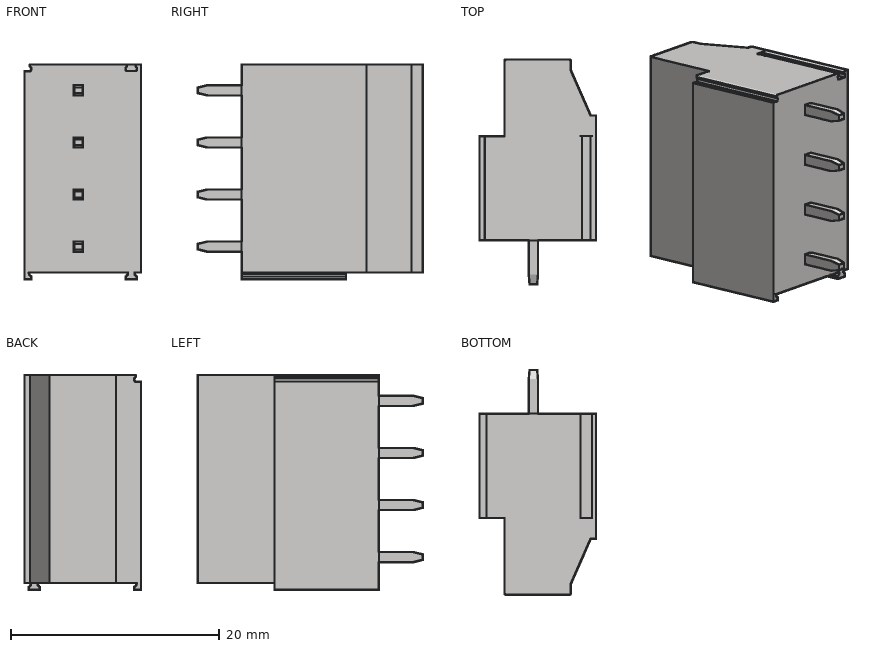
import cadquery as cq
import math

pole_count = 4
height = 20.0
pitch = height / pole_count
depth = 11.2

base_length = 10.02
total_length = 17.39
ledge_length = 12.0
ledge_width = 0.52
slope_end = 16.33
neck_left = 2.4
neck_right = 8.8
neck_edge_radius = 0.2

interlock_depth = 0.65
dovetail_center = 10.25
wide_half_width = 0.55

lip_half_width = 0.39
lip_radius = 0.15
undercut_depth = 0.37
floor_half_width = 0.45
notch_center = 0.1

tongue_root_half_width = 0.37
tongue_waist_half_width = 0.32
tongue_waist_depth = 0.15
tongue_flare_depth = 0.39

hook_root = 0.43
hook_waist = 0.48
hook_waist_depth = 0.2
hook_tip = 0.67
hook_flare_depth = 0.37

pin_x = 5.18
pin_width = 0.9
pin_thickness = 1.0
pin_tip_width = 0.75
pin_tip_thickness = 0.55
pin_length = 4.21
pin_taper_length = 0.9


def extrude_along_base(profile):
    """Extrude an XZ profile from the pin face to the end of the base."""
    return profile.close().extrude(-base_length)


def make_housing():
    outline = [
        (0, 0),
        (depth, 0),
        (depth, ledge_length),
        (depth - ledge_width, ledge_length),
        (neck_right, slope_end),
        (neck_right, total_length),
        (neck_left, total_length),
        (neck_left, base_length),
        (0, base_length),
    ]
    block = cq.Workplane("XY").polyline(outline).close().extrude(height)
    return block.faces(">Y").edges("|Z").fillet(neck_edge_radius)


def make_half_recess(center, inner_x):
    """Recess in the top face between inner_x and the undercut wall to the right of center."""
    lip_x = center + lip_half_width
    wide_x = center + wide_half_width
    mouth_x = lip_x + lip_radius
    floor_x = center + floor_half_width
    lip_z = height - lip_radius
    lip_arc_offset = lip_radius * math.sqrt(0.5)
    lip_arc_middle = (mouth_x - lip_arc_offset, lip_z + lip_arc_offset)
    floor_z = height - interlock_depth
    undercut_z = height - undercut_depth
    floor_arc_middle = (wide_x, (floor_z + undercut_z) / 2)
    profile = (
        cq.Workplane("XZ")
        .moveTo(inner_x, height)
        .lineTo(mouth_x, height)
        .threePointArc(lip_arc_middle, (lip_x, lip_z))
        .lineTo(wide_x, undercut_z)
        .threePointArc(floor_arc_middle, (floor_x, floor_z))
        .lineTo(inner_x, floor_z)
    )
    return extrude_along_base(profile)


def make_groove():
    """Dovetail groove, symmetric about its middle plane."""
    half = make_half_recess(dovetail_center, dovetail_center)
    return half.union(half.mirror("YZ", (dovetail_center, 0, 0)))


def make_notch():
    """Undercut corner removed from the top left of the base."""
    return make_half_recess(notch_center, 0)


def make_tongue():
    """Waisted dovetail bar below the bottom face."""
    half_profile = (
        cq.Workplane("XZ")
        .moveTo(dovetail_center, 0)
        .lineTo(dovetail_center + tongue_root_half_width, 0)
        .lineTo(dovetail_center + tongue_waist_half_width, -tongue_waist_depth)
        .lineTo(dovetail_center + wide_half_width, -tongue_flare_depth)
        .lineTo(dovetail_center + wide_half_width, -interlock_depth)
        .lineTo(dovetail_center, -interlock_depth)
    )
    half = extrude_along_base(half_profile)
    return half.union(half.mirror("YZ", (dovetail_center, 0, 0)))


def make_hook():
    """Hooked lip below the bottom left of the base."""
    profile = (
        cq.Workplane("XZ")
        .moveTo(0, 0)
        .lineTo(hook_root, 0)
        .lineTo(hook_waist, -hook_waist_depth)
        .lineTo(hook_tip, -hook_flare_depth)
        .lineTo(hook_tip, -interlock_depth)
        .lineTo(0, -interlock_depth)
    )
    return extrude_along_base(profile)


def make_pin(pin_z):
    """Rectangular pin with a tapered tip, pointing towards -Y."""
    shank_length = pin_length - pin_taper_length
    pin_axis = cq.Workplane("XZ", origin=(pin_x, 0, pin_z))
    shank = pin_axis.rect(pin_width, pin_thickness).extrude(shank_length)
    tip = (
        pin_axis.workplane(offset=shank_length)
        .rect(pin_width, pin_thickness)
        .workplane(offset=pin_taper_length)
        .rect(pin_tip_width, pin_tip_thickness)
        .loft(ruled=True)
    )
    return shank.union(tip)


result = make_housing()
result = result.cut(make_groove()).cut(make_notch())
result = result.union(make_tongue()).union(make_hook())
for pole in range(pole_count):
    result = result.union(make_pin((pole + 0.5) * pitch))